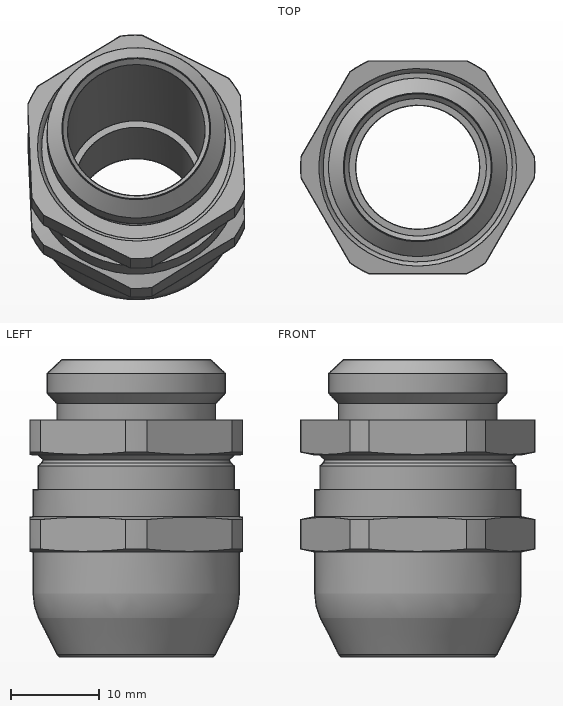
import cadquery as cq
import math

total_height = 33.5
lower_hex_bottom = 11.83
lower_hex_top = 15.8
shoulder_top = 18.85
gland_top = 21.5
undercut_low = 21.85
undercut_mid = 22.2
upper_hex_bottom = 22.75
upper_hex_top = 26.7
neck_top = 28.55
collar_bottom = 29.7
collar_top = 31.93

cap_radius = 11.62
gland_radius = 11.05
undercut_radius = 10.5
undercut_lip_radius = 10.7
neck_radius = 8.95
collar_radius = 10.05
rim_radius = 8.38

cap_arc_top = 7.1
cap_arc_radius = 6.2
cap_arc_angle = math.radians(26)
cap_end_radius = 8.65
cap_cone_end_radius = 8.9
cap_edge_height = 0.27

across_flats = 24.0
across_corners = 26.4
hex_chamfer_start_radius = cap_radius
hex_chamfer_drop = 0.35

bore_radius = 6.97
upper_bore_radius = 7.75
bore_mouth_radius = 8.27
bore_step_height = lower_hex_bottom

recess_mouth_radius = 11.12
recess_wall_radius = 10.9
recess_floor_radius = 10.65
recess_lip_depth = 0.25
recess_depth = 0.6
recess_floor_height = upper_hex_top - recess_depth
neck_foot_flare = 0.17


def cap_arc_point(angle):
    """Point (radius, height) on the cap arc, measured from its top tangent point."""
    radius = cap_radius - cap_arc_radius * (1 - math.cos(angle))
    return (radius, cap_arc_top - cap_arc_radius * math.sin(angle))


def make_body():
    """Turned outside of the part, without the hexagons."""
    return (
        cq.Workplane("XZ")
        .lineTo(cap_end_radius, 0)
        .lineTo(cap_cone_end_radius, cap_edge_height)
        .lineTo(*cap_arc_point(cap_arc_angle))
        .threePointArc(cap_arc_point(cap_arc_angle / 2), cap_arc_point(0))
        .lineTo(cap_radius, shoulder_top)
        .lineTo(gland_radius, shoulder_top)
        .lineTo(gland_radius, gland_top)
        .lineTo(undercut_lip_radius, undercut_low)
        .lineTo(undercut_radius, undercut_mid)
        .lineTo(gland_radius, upper_hex_bottom)
        .lineTo(gland_radius, recess_floor_height)
        .lineTo(neck_radius + neck_foot_flare, recess_floor_height)
        .lineTo(neck_radius, recess_floor_height + neck_foot_flare)
        .lineTo(neck_radius, neck_top)
        .lineTo(collar_radius, collar_bottom)
        .lineTo(collar_radius, collar_top)
        .lineTo(rim_radius, total_height)
        .lineTo(0, total_height)
        .close()
        .revolve(360, (0, 0, 0), (0, 1, 0))
    )


def make_hex(bottom, top, chamfer_top):
    """Hexagon with turned corners and a chamfer below, and above if asked for."""
    corner_radius = across_corners / 2
    envelope = (
        cq.Workplane("XZ")
        .moveTo(0, bottom)
        .lineTo(hex_chamfer_start_radius, bottom)
        .lineTo(corner_radius, bottom + hex_chamfer_drop)
    )
    if chamfer_top:
        envelope = envelope.lineTo(corner_radius, top - hex_chamfer_drop)
        envelope = envelope.lineTo(hex_chamfer_start_radius, top)
    else:
        envelope = envelope.lineTo(corner_radius, top)
    envelope = envelope.lineTo(0, top).close().revolve(360, (0, 0, 0), (0, 1, 0))
    prism = (
        cq.Workplane("XY", origin=(0, 0, bottom))
        .polygon(6, across_flats / math.cos(math.pi / 6))
        .extrude(top - bottom)
    )
    return prism.intersect(envelope)


def make_bore():
    """Stepped through bore with a 45 degree mouth."""
    mouth_depth = bore_mouth_radius - upper_bore_radius
    return (
        cq.Workplane("XZ")
        .lineTo(bore_radius, 0)
        .lineTo(bore_radius, bore_step_height)
        .lineTo(upper_bore_radius, bore_step_height)
        .lineTo(upper_bore_radius, total_height - mouth_depth)
        .lineTo(bore_mouth_radius, total_height)
        .lineTo(0, total_height)
        .close()
        .revolve(360, (0, 0, 0), (0, 1, 0))
    )


def make_recess():
    """Round recess with a two-slope wall."""
    return (
        cq.Workplane("XZ")
        .moveTo(0, recess_floor_height)
        .lineTo(recess_floor_radius, recess_floor_height)
        .lineTo(recess_wall_radius, upper_hex_top - recess_lip_depth)
        .lineTo(recess_mouth_radius, upper_hex_top)
        .lineTo(0, upper_hex_top)
        .close()
        .revolve(360, (0, 0, 0), (0, 1, 0))
    )


lower_hex = make_hex(lower_hex_bottom, lower_hex_top, chamfer_top=True)
upper_hex = make_hex(upper_hex_bottom, upper_hex_top, chamfer_top=False).cut(make_recess())
outside = make_body().union(lower_hex).union(upper_hex)
result = outside.cut(make_bore())